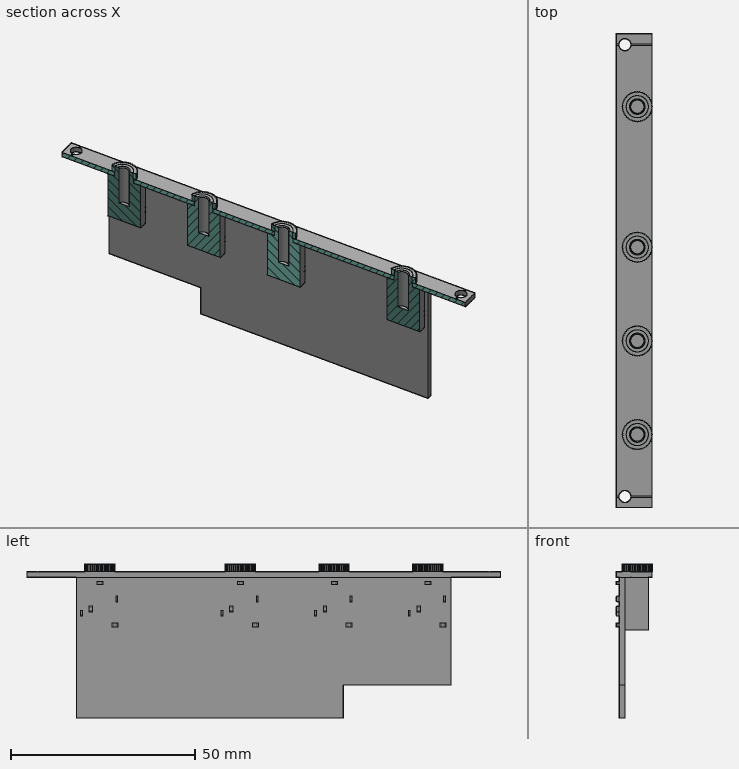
import cadquery as cq
import math

PANEL_WIDTH = 9.8
PANEL_LENGTH = 128.5
PANEL_THICKNESS = 1.6
MOUNT_HOLE_DIAMETER = 3.2
MOUNT_HOLE_X = 2.4
MOUNT_HOLE_PITCH = 122.5
SCORE_WIDTH = 0.4
SCORE_DEPTH = 0.1

BOARD_X = 0.85
BOARD_THICKNESS = 1.6
BOARD_LENGTH = 101.6
BOARD_HEIGHT = 38.1
CORNER_CUT_LENGTH = 29.2
CORNER_CUT_HEIGHT = 8.9

JACK_Y = (44.45, 6.35, -19.05, -44.45)
JACK_AXIS_X = 5.75
JACK_BODY_DEPTH = 6.4
JACK_BODY_WIDTH = 10.5
JACK_BODY_HEIGHT = 14.3
BUSHING_DIAMETER = 6.0
BORE_DIAMETER = 3.6
BORE_DEPTH = 12.0
BORE_COUNTERSINK = 0.3

TAB_END_X = 0.0
TAB_TIP_RADIUS = 0.45
TABS = (
    (-0.1, -3.1, 1.6, 0.9),
    (-4.6, -7.4, 0.5, 1.6),
    (2.45, -10.15, 0.9, 1.6),
    (5.0, -11.3, 0.5, 1.6),
    (-4.1, -14.5, 1.6, 1.0),
)

NUT_DIAMETER = 8.2
NUT_HEIGHT = 2.0
KNURL_COUNT = 40
KNURL_DEPTH = 0.18

BOARD_FRONT_X = BOARD_X + BOARD_THICKNESS


def make_panel():
    """A flat strip with mounting holes, a shallow scored line through each, and bushing holes."""
    panel = cq.Workplane("XY").box(
        PANEL_WIDTH, PANEL_LENGTH, PANEL_THICKNESS, centered=(False, True, False)
    ).translate((0, 0, -PANEL_THICKNESS))
    for side in (1, -1):
        hole_y = side * MOUNT_HOLE_PITCH / 2
        hole = (
            cq.Workplane("XY", origin=(MOUNT_HOLE_X, hole_y, 0))
            .circle(MOUNT_HOLE_DIAMETER / 2)
            .extrude(-PANEL_THICKNESS)
        )
        score = cq.Workplane("XY").box(
            PANEL_WIDTH, SCORE_WIDTH, SCORE_DEPTH, centered=(False, True, False)
        ).translate((0, hole_y, -SCORE_DEPTH))
        panel = panel.cut(hole).cut(score)
    bushing_holes = (
        cq.Workplane("XY")
        .pushPoints([(JACK_AXIS_X, y) for y in JACK_Y])
        .circle(BUSHING_DIAMETER / 2)
        .extrude(-PANEL_THICKNESS)
    )
    return panel.cut(bushing_holes)


def make_tab(y, offset_y, z, size_y, size_z):
    """A flat tab from the jack body out through the board, with its broad tip rounded off."""
    round_edges = "|Y" if size_z > size_y else "|Z"
    length = BOARD_FRONT_X - TAB_END_X
    return (
        cq.Workplane("XY")
        .box(length, size_y, size_z, centered=(False, True, True))
        .faces("<X")
        .edges(round_edges)
        .fillet(TAB_TIP_RADIUS)
        .translate((TAB_END_X, y + offset_y, z))
    )


def make_jack(y):
    """A jack whose bushing and blind, countersunk bore stand on the axis at the given Y."""
    body = cq.Workplane("XY").box(
        JACK_BODY_DEPTH, JACK_BODY_WIDTH, JACK_BODY_HEIGHT, centered=(False, True, False)
    ).translate((BOARD_FRONT_X, y, -PANEL_THICKNESS - JACK_BODY_HEIGHT))
    bushing = (
        cq.Workplane("XY", origin=(JACK_AXIS_X, y, -PANEL_THICKNESS))
        .circle(BUSHING_DIAMETER / 2)
        .extrude(PANEL_THICKNESS + NUT_HEIGHT)
    )
    bore = (
        cq.Workplane("XY", origin=(JACK_AXIS_X, y, NUT_HEIGHT))
        .circle(BORE_DIAMETER / 2)
        .extrude(-BORE_DEPTH)
    )
    countersink = (
        cq.Workplane("XY", origin=(JACK_AXIS_X, y, NUT_HEIGHT))
        .circle(BORE_DIAMETER / 2 + BORE_COUNTERSINK)
        .extrude(-BORE_COUNTERSINK, taper=45)
    )
    jack = body.union(bushing).cut(bore).cut(countersink)
    for tab in TABS:
        jack = jack.union(make_tab(y, *tab))
    return jack


def make_nut(y):
    """A ring whose rim is a zigzag of straight V-shaped knurl teeth."""
    rim = []
    for step in range(2 * KNURL_COUNT):
        angle = math.pi * step / KNURL_COUNT
        radius = NUT_DIAMETER / 2 - KNURL_DEPTH * (step % 2)
        rim.append((radius * math.cos(angle), radius * math.sin(angle)))
    return (
        cq.Workplane("XY", origin=(JACK_AXIS_X, y, 0))
        .polyline(rim)
        .close()
        .circle(BUSHING_DIAMETER / 2)
        .extrude(NUT_HEIGHT)
    )


def make_board():
    """An upright plate with a cut corner and a slot for every solder tab."""
    top = -PANEL_THICKNESS
    bottom = top - BOARD_HEIGHT
    half = BOARD_LENGTH / 2
    board = (
        cq.Workplane("YZ", origin=(BOARD_X, 0, 0))
        .moveTo(half, top)
        .lineTo(half, bottom)
        .lineTo(-half + CORNER_CUT_LENGTH, bottom)
        .lineTo(-half + CORNER_CUT_LENGTH, bottom + CORNER_CUT_HEIGHT)
        .lineTo(-half, bottom + CORNER_CUT_HEIGHT)
        .lineTo(-half, top)
        .close()
        .extrude(BOARD_THICKNESS)
    )
    for y in JACK_Y:
        for offset_y, z, size_y, size_z in TABS:
            slot = cq.Workplane("XY").box(
                BOARD_THICKNESS, size_y, size_z, centered=(False, True, True)
            ).translate((BOARD_X, y + offset_y, z))
            board = board.cut(slot)
    return board


panel = make_panel()
board = make_board()
jacks = [make_jack(y) for y in JACK_Y]
nuts = [make_nut(y) for y in JACK_Y]
result = cq.Compound.makeCompound(
    [panel.val(), board.val()] + [jack.val() for jack in jacks] + [nut.val() for nut in nuts]
)